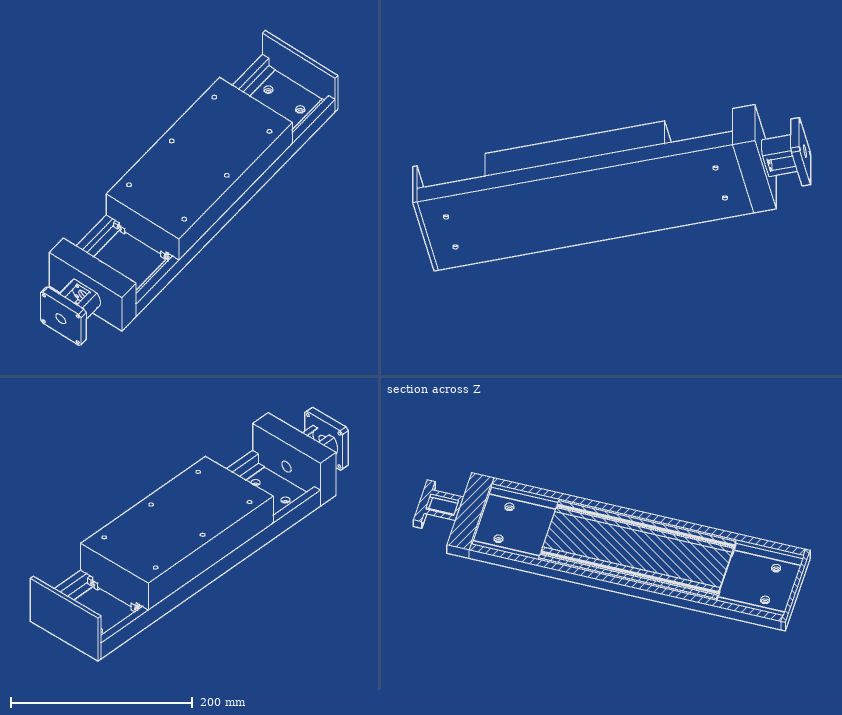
import cadquery as cq

width = 101.5
height = 61.8
length = 432.0
rear_y = length / 2
front_y = -length / 2

end_plate_thickness = 5.0
base_length = 357.0
base_height = 23.5
wall_thickness = 9.0
floor_height = 9.0
ledge_width = 9.0
ledge_height = 10.0
base_rear_y = rear_y - end_plate_thickness
base_front_y = base_rear_y - base_length
base_middle_y = (base_rear_y + base_front_y) / 2
channel_width = width - 2 * wall_thickness
floor_width = channel_width - 2 * ledge_width

mount_hole_diameter = 5.5
counterbore_diameter = 10.0
counterbore_depth = 5.0
mount_hole_spacing_x = 44.5
mount_hole_spacing_y = 305.0

block_length = 25.5
block_front_y = base_front_y - block_length

carriage_length = 203.5
carriage_front_y = base_middle_y - carriage_length / 2
carriage_rear_y = base_middle_y + carriage_length / 2
keel_width = 65.0
keel_bottom_z = 13.5
keel_notch_width = 7.5
keel_notch_top_z = 18.5
carriage_hole_diameter = 5.0
carriage_hole_depth = 10.0
carriage_hole_spacing_x = 77.0
carriage_hole_spacing_y = 76.5

rail_width = 5.5
inner_rail_x = keel_width / 2 - keel_notch_width + rail_width / 2
outer_rail_x = 37.5
outer_rail_top_z = 17.5
vee_depth = 1.0
vee_z = 13.5

flange_size = 56.5
flange_thickness = 9.5
flange_chamfer = 3.5
flange_hole_spacing = 47.0
flange_hole_diameter = 4.0
flange_rear_y = front_y + flange_thickness
axis_z = flange_size / 2
neck_diameter = 41.5
neck_top_offset = 13.5
neck_bottom_offset = 14.0
neck_length = block_front_y - flange_rear_y
neck_end_wall = 3.5
cavity_diameter = 31.5
shaft_bore_diameter = 14.0
screw_hole_spacing = 18.5
screw_hole_diameter = 4.0


def box(size_x, y_from, y_to, z_from, z_to, x=0.0):
    """Box centred on x that spans the given Y and Z ranges."""
    return cq.Workplane("XY").box(size_x, y_to - y_from, z_to - z_from).translate(
        (x, (y_from + y_to) / 2, (z_from + z_to) / 2)
    )


def axis_plane(y):
    """Plane across the drive axis at y; extruding from it goes toward -Y."""
    return cq.Workplane("XZ", origin=(0, y, axis_z))


def make_base():
    body = box(width, base_front_y, base_rear_y, 0, base_height)
    body = body.cut(box(channel_width, base_front_y, base_rear_y, floor_height, base_height))
    for side in (-1, 1):
        ledge_x = side * (floor_width + ledge_width) / 2
        body = body.union(
            box(ledge_width, base_front_y, base_rear_y, floor_height, ledge_height, ledge_x)
        )
    return (
        cq.Workplane("XY", origin=(0, base_middle_y, floor_height))
        .add(body)
        .rarray(mount_hole_spacing_x, mount_hole_spacing_y, 2, 2)
        .cboreHole(mount_hole_diameter, counterbore_diameter, counterbore_depth)
    )


def make_end_plate():
    return box(width, base_rear_y, rear_y, 0, height)


def make_bearing_block():
    shaft_bore = axis_plane(base_front_y).circle(shaft_bore_diameter / 2).extrude(block_length)
    return box(width, block_front_y, base_front_y, 0, height).cut(shaft_bore)


def make_carriage():
    body = box(width, carriage_front_y, carriage_rear_y, base_height, height)
    body = body.union(box(keel_width, carriage_front_y, carriage_rear_y, keel_bottom_z, base_height))
    for side in (-1, 1):
        notch_x = side * (keel_width - keel_notch_width) / 2
        body = body.cut(
            box(keel_notch_width, carriage_front_y, carriage_rear_y,
                keel_bottom_z, keel_notch_top_z, notch_x)
        )
    return (
        body.faces(">Z").workplane(origin=(0, base_middle_y, height))
        .rarray(carriage_hole_spacing_x, carriage_hole_spacing_y, 2, 3)
        .hole(carriage_hole_diameter, carriage_hole_depth)
    )


def make_rail(x, bottom_z, top_z, vee_side):
    """Rail as long as the carriage, with a V-groove in the face on vee_side (+1 or -1 in X)."""
    body = box(rail_width, carriage_front_y, carriage_rear_y, bottom_z, top_z, x)
    face_x = x + vee_side * rail_width / 2
    vee_groove = (
        cq.Workplane("XZ", origin=(0, carriage_rear_y, 0))
        .moveTo(face_x, vee_z - vee_depth)
        .lineTo(face_x - vee_side * vee_depth, vee_z)
        .lineTo(face_x, vee_z + vee_depth)
        .close()
        .extrude(carriage_length)
    )
    return body.cut(vee_groove)


def make_motor_mount():
    neck = axis_plane(block_front_y).circle(neck_diameter / 2).extrude(neck_length)
    neck = neck.intersect(
        box(neck_diameter, flange_rear_y, block_front_y,
            axis_z - neck_bottom_offset, axis_z + neck_top_offset)
    )
    flange = box(flange_size, front_y, flange_rear_y, 0, flange_size)
    flange = flange.edges("|Y").chamfer(flange_chamfer)

    cavity = (
        axis_plane(block_front_y - neck_end_wall)
        .circle(cavity_diameter / 2)
        .extrude(neck_length - neck_end_wall)
    )
    shaft_bore = (
        axis_plane(block_front_y)
        .circle(shaft_bore_diameter / 2)
        .extrude(neck_length + flange_thickness)
    )
    screw_holes = (
        axis_plane(block_front_y)
        .rarray(screw_hole_spacing, screw_hole_spacing, 2, 2)
        .circle(screw_hole_diameter / 2)
        .extrude(neck_end_wall)
    )
    flange_holes = (
        axis_plane(flange_rear_y)
        .rarray(flange_hole_spacing, flange_hole_spacing, 2, 2)
        .circle(flange_hole_diameter / 2)
        .extrude(flange_thickness)
    )
    return neck.union(flange).cut(cavity).cut(shaft_bore).cut(screw_holes).cut(flange_holes)


base = make_base()
end_plate = make_end_plate()
bearing_block = make_bearing_block()
carriage = make_carriage()
motor_mount = make_motor_mount()

inner_rails = []
outer_rails = []
for side in (-1, 1):
    inner_rail = make_rail(side * inner_rail_x, floor_height, keel_notch_top_z, side)
    inner_rails.append(inner_rail.val())
    outer_rail = make_rail(side * outer_rail_x, ledge_height, outer_rail_top_z, -side)
    outer_rails.append(outer_rail.val())

result = cq.Compound.makeCompound(
    [
        base.val(),
        end_plate.val(),
        bearing_block.val(),
        carriage.val(),
        motor_mount.val(),
        *inner_rails,
        *outer_rails,
    ]
)